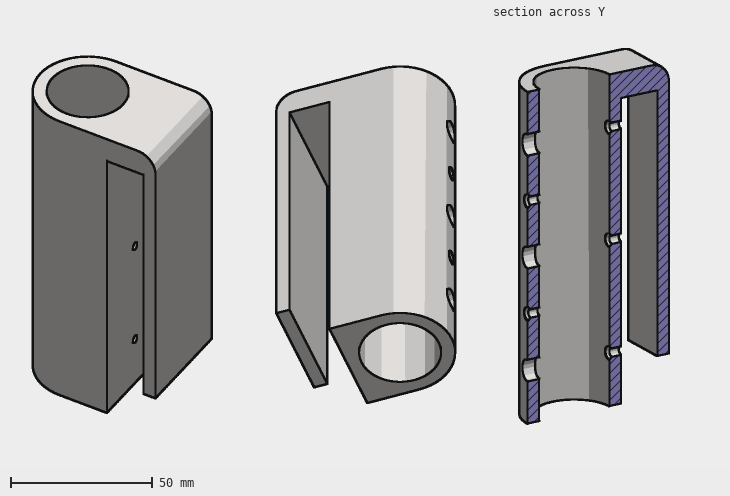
import cadquery as cq

height = 125.0
bore_diameter = 29.0
wall = 5.0
gap = 15.0
bridge_thickness = 10.0
leg_clearance = 15.0
corner_radius = 7.5

hole_pitch = 21.2
access_diameter = 8.0
screw_diameter = 3.0
countersink_diameter = 5.0
rounded_wall_recess = 0.2

bore_radius = bore_diameter / 2
outer_radius = bore_radius + wall
leg_inner_x = outer_radius + gap
leg_outer_x = leg_inner_x + wall
countersink_depth = (countersink_diameter - screw_diameter) / 2


def make_hook():
    """Side profile: sleeve block, bridge and hanging leg."""
    return (
        cq.Workplane("XZ")
        .moveTo(0, 0)
        .lineTo(outer_radius, 0)
        .lineTo(outer_radius, height - bridge_thickness)
        .lineTo(leg_inner_x, height - bridge_thickness)
        .lineTo(leg_inner_x, leg_clearance)
        .lineTo(leg_outer_x, leg_clearance)
        .lineTo(leg_outer_x, height - corner_radius)
        .radiusArc((leg_outer_x - corner_radius, height), -corner_radius)
        .lineTo(0, height)
        .close()
        .extrude(outer_radius, both=True)
    )


def hole_along_x(diameter, start_x, length, z):
    return cq.Workplane("YZ", origin=(start_x, 0, z)).circle(diameter / 2).extrude(length)


def countersunk_hole(face_x, z):
    """Screw hole through one wall, countersunk from -X with a straight mouth."""
    mouth_x = face_x - countersink_depth
    cone = cq.Workplane("XY").add(
        cq.Solid.makeCone(
            countersink_diameter / 2,
            screw_diameter / 2,
            countersink_depth,
            cq.Vector(face_x, 0, z),
            cq.Vector(1, 0, 0),
        )
    )
    mouth = hole_along_x(countersink_diameter, mouth_x, countersink_depth, z)
    screw_hole = hole_along_x(screw_diameter, mouth_x, wall + countersink_depth, z)
    return screw_hole.union(cone).union(mouth)


sleeve = cq.Workplane("XY").circle(outer_radius).extrude(height)
bore = cq.Workplane("XY").circle(bore_radius).extrude(height)
result = make_hook().union(sleeve).cut(bore)

for step in (-2, 0, 2):
    z = height / 2 + step * hole_pitch
    result = result.cut(hole_along_x(access_diameter, -outer_radius, outer_radius, z))
    result = result.cut(countersunk_hole(bore_radius, z))

for step in (-1, 1):
    z = height / 2 + step * hole_pitch
    result = result.cut(countersunk_hole(-outer_radius + rounded_wall_recess, z))